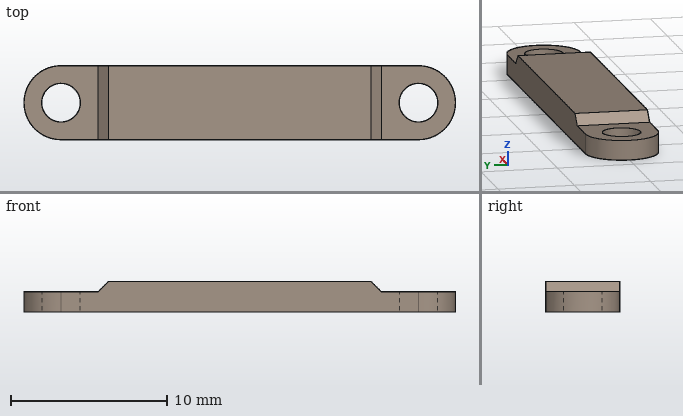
import cadquery as cq

length = 27.62
width = 4.75
height = 1.95
tab_thickness = 1.3
hole_diameter = 2.45
raised_top_length = 16.8

slope_rise = height - tab_thickness
raised_base_length = raised_top_length + 2 * slope_rise
hole_spacing = length - width


def make_base_strap():
    """Flat strap with fully rounded ends, resting on Z = 0."""
    return cq.Workplane("XY").slot2D(length, width).extrude(tab_thickness)


def make_raised_bar():
    """Full-width bar, from Z = 0 up to the top face, with sloped ends."""
    half_base = raised_base_length / 2
    half_top = raised_top_length / 2
    profile = [
        (-half_base, 0),
        (half_base, 0),
        (half_base, tab_thickness),
        (half_top, height),
        (-half_top, height),
        (-half_base, tab_thickness),
    ]
    return cq.Workplane("XZ").polyline(profile).close().extrude(width / 2, both=True)


def make_end_holes():
    """Cutters for the through hole in each end tab."""
    return (
        cq.Workplane("XY")
        .pushPoints([(-hole_spacing / 2, 0), (hole_spacing / 2, 0)])
        .circle(hole_diameter / 2)
        .extrude(height)
    )


result = make_base_strap().union(make_raised_bar()).cut(make_end_holes()).clean()